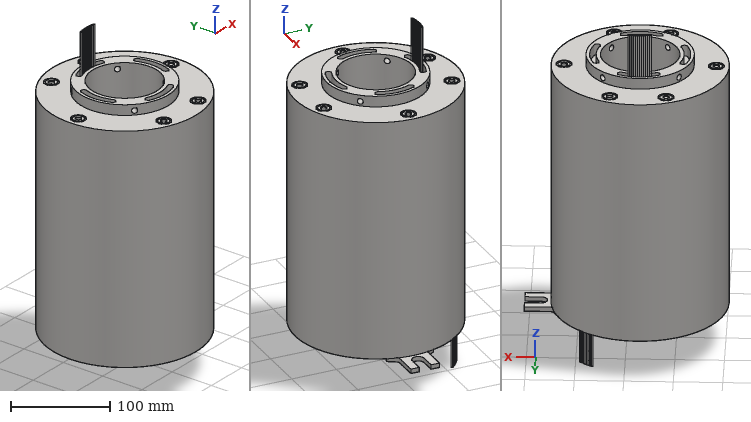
import cadquery as cq
import math

total_height = 364.5
body_bottom = 40.0
body_height = 267.0
hub_height = 12.0
body_top = body_bottom + body_height
hub_top = body_top + hub_height

body_radius = 90.0
hub_radius = 54.5
bore_radius = 40.0

slot_count = 4
slot_mid_radius = 47.7
slot_width = 6.5
slot_span = 45.0
slot_depth = hub_height

set_hole_count = 4
set_hole_first_angle = 48.0
set_hole_diameter = 6.2
set_hole_height = 5.0

screw_circle_radius = 77.0
screw_angles = [0, 68.3, 111.7, 180, 248.3, 291.7]
screw_recess_diameter = 16.0
screw_head_diameter = 12.5
screw_recess_depth = 2.0
socket_diameter = 6.5
socket_depth = 1.0

wire_diameter = 2.08
wire_pitch = 2.0
wire_embed = 3.5
upper_wire_count = 12
upper_wire_angle = 91.2
lower_wire_count = 9
lower_wire_radius = 82.0
lower_wire_angle = 50.0

bracket_thickness = 5.0
bracket_inner_x = 67.5
bracket_outer_x = 116.5
bracket_inner_half_width = 19.0
wing_tip_x = 81.5
wing_angle = 30.0
arm_half_width = 16.0
wing_corner_radius = 2.5
bracket_corner_radius = 3.5
fork_width = 13.0
fork_end_x = 93.5


def polar(radius, angle):
    """Point at a radius and an angle in degrees around the Z axis."""
    turn = math.radians(angle)
    return (radius * math.cos(turn), radius * math.sin(turn))


def cylinder(radius, bottom, height):
    """Upright cylinder on the Z axis."""
    return cq.Workplane("XY").workplane(offset=bottom).circle(radius).extrude(height)


def curved_slot(angle):
    """Cutter for one arc-shaped slot with round ends, centred at the given angle."""
    start = angle - slot_span / 2
    end = angle + slot_span / 2
    inner = slot_mid_radius - slot_width / 2
    outer = slot_mid_radius + slot_width / 2
    end_reach = math.degrees(slot_width / 2 / slot_mid_radius)
    return (
        cq.Workplane("XY")
        .workplane(offset=hub_top - slot_depth)
        .moveTo(*polar(outer, start))
        .threePointArc(polar(outer, angle), polar(outer, end))
        .threePointArc(polar(slot_mid_radius, end + end_reach), polar(inner, end))
        .threePointArc(polar(inner, angle), polar(inner, start))
        .threePointArc(polar(slot_mid_radius, start - end_reach), polar(outer, start))
        .close()
        .extrude(slot_depth)
    )


def set_hole(angle):
    """Cutter for one radial hole, from the bore out through the hub wall."""
    return (
        cq.Workplane("YZ")
        .center(0, body_top + set_hole_height)
        .circle(set_hole_diameter / 2)
        .extrude(hub_radius + set_hole_diameter)
        .rotate((0, 0, 0), (0, 0, 1), angle)
    )


def screw_cutter(angle):
    """Ring-shaped gap around a screw head, plus the round socket in the head."""
    face = cq.Workplane("XY").workplane(offset=body_top).center(*polar(screw_circle_radius, angle))
    gap = (
        face.circle(screw_recess_diameter / 2)
        .circle(screw_head_diameter / 2)
        .extrude(-screw_recess_depth)
    )
    socket = face.circle(socket_diameter / 2).extrude(-socket_depth)
    return gap.union(socket)


def wire_ribbon(count, radius, middle_angle, bottom, height):
    """Row of parallel wires standing side by side on an arc around the Z axis."""
    step = math.degrees(wire_pitch / radius)
    first = middle_angle - step * (count - 1) / 2
    wire = cylinder(wire_diameter / 2, bottom, height)
    ribbon = wire.translate((*polar(radius, first), 0))
    for i in range(1, count):
        ribbon = ribbon.union(wire.translate((*polar(radius, first + i * step), 0)))
    return ribbon


def upright_edges_at(x):
    """Selector for the bracket's vertical edges at a place along X, found by their midpoints."""
    reach = 0.5
    mid_level = body_bottom - bracket_thickness / 2
    return cq.selectors.BoxSelector(
        (x - reach, -body_radius, mid_level - reach),
        (x + reach, body_radius, mid_level + reach),
    )


def bracket():
    """Plate with two slanted wings under the body and a forked arm reaching out along X."""
    slope = math.tan(math.radians(wing_angle))
    wing_tip_y = bracket_inner_half_width + (wing_tip_x - bracket_inner_x) * slope
    root_x = wing_tip_x + (wing_tip_y - arm_half_width) * slope
    side = [
        (bracket_inner_x, bracket_inner_half_width),
        (wing_tip_x, wing_tip_y),
        (root_x, arm_half_width),
        (bracket_outer_x, arm_half_width),
    ]
    mirrored_side = [(x, -y) for x, y in reversed(side)]
    level = cq.Workplane("XY").workplane(offset=body_bottom - bracket_thickness)
    plate = level.polyline(side + mirrored_side).close().extrude(bracket_thickness)

    corners = [
        (wing_tip_x, wing_corner_radius),
        (bracket_inner_x, bracket_corner_radius),
        (root_x, bracket_corner_radius),
    ]
    for x, radius in corners:
        plate = plate.edges(upright_edges_at(x)).fillet(radius)

    fork_radius = fork_width / 2
    fork_round_x = fork_end_x + fork_radius
    fork = (
        level.moveTo(bracket_outer_x, -fork_radius)
        .lineTo(fork_round_x, -fork_radius)
        .threePointArc((fork_end_x, 0), (fork_round_x, fork_radius))
        .lineTo(bracket_outer_x, fork_radius)
        .close()
        .extrude(bracket_thickness)
    )
    return plate.cut(fork)


result = cylinder(body_radius, body_bottom, body_height)
result = result.union(cylinder(hub_radius, body_top, hub_height))
result = result.cut(cylinder(bore_radius, body_bottom, body_height + hub_height))

for i in range(slot_count):
    result = result.cut(curved_slot(i * 360 / slot_count))

for i in range(set_hole_count):
    result = result.cut(set_hole(set_hole_first_angle + i * 360 / set_hole_count))

for angle in screw_angles:
    result = result.cut(screw_cutter(angle))

result = result.union(bracket())

upper_bottom = hub_top - slot_depth - wire_embed
upper_height = total_height - upper_bottom
upper_wires = wire_ribbon(
    upper_wire_count, slot_mid_radius, upper_wire_angle, upper_bottom, upper_height
)
result = result.union(upper_wires)

lower_height = body_bottom + wire_embed
lower_wires = wire_ribbon(lower_wire_count, lower_wire_radius, lower_wire_angle, 0, lower_height)
result = result.union(lower_wires)